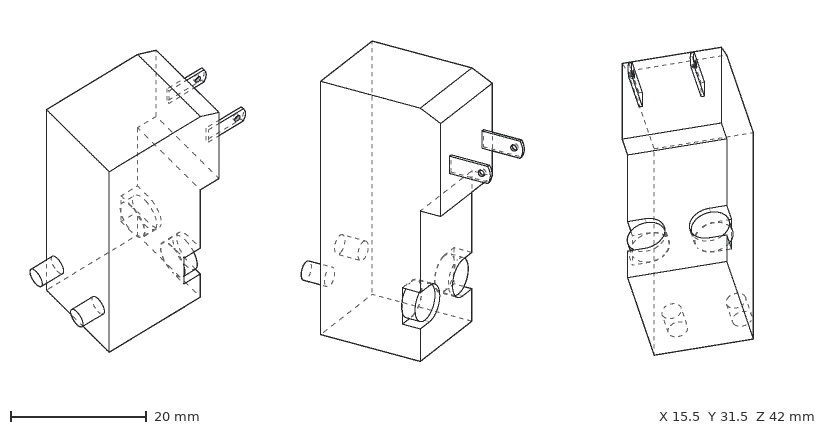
import cadquery as cq
import math

body_width = 15.05
body_height = 42.0
base_depth = 17.05
head_depth = 20.55
head_bottom = 24.95
bevel_run = 3.5
bevel_drop = 1.65

pin_x = 4.87
axis_z = 8.4
pin_diameter = 3.0
pin_length = 4.0

screw_diameter = 5.8
screw_recess = 0.75
slot_height = 6.0
slot_depth = 3.05
screw_overhang = 0.23
screw_x = body_width / 2 + screw_overhang - screw_diameter / 2

blade_x = 4.7
blade_z = 32.4
blade_thickness = 0.5
blade_height = 2.85
blade_tip_y = 27.5
blade_nose_radius = 2.48
blade_hole_diameter = 1.0
blade_hole_setback = 1.55
blade_embed = 0.4


def make_housing():
    """Side profile with a rear overhang and a bevelled top rear edge."""
    return (
        cq.Workplane("YZ")
        .polyline([
            (0, 0),
            (base_depth, 0),
            (base_depth, head_bottom),
            (head_depth, head_bottom),
            (head_depth, body_height - bevel_drop),
            (head_depth - bevel_run, body_height),
            (0, body_height),
        ])
        .close()
        .extrude(body_width / 2, both=True)
    )


def cylinder_along_y(diameter, x, y_start, y_end):
    """Cylinder at the pin and screw height, running from y_start to y_end."""
    return (
        cq.Workplane("XZ", origin=(x, y_start, axis_z))
        .circle(diameter / 2)
        .extrude(y_start - y_end)
    )


def make_screw_slot(side):
    """Slot with a round inner end, open at one side face and at the back."""
    slot_floor = base_depth - slot_depth
    round_end = cylinder_along_y(slot_height, side * screw_x, slot_floor, base_depth)
    opening = (
        cq.Workplane("XY")
        .box(body_width / 2, slot_depth, slot_height)
        .translate((side * (screw_x + body_width / 4), base_depth - slot_depth / 2, axis_z))
    )
    return round_end.union(opening)


def make_blade(x):
    """Flat blade with a rounded nose and a small cross hole."""
    half_height = blade_height / 2
    nose_rise = blade_nose_radius - math.sqrt(blade_nose_radius**2 - half_height**2)
    shoulder_y = blade_tip_y - nose_rise
    root_y = head_depth - blade_embed
    blade = (
        cq.Workplane("YZ", origin=(x, 0, blade_z))
        .moveTo(root_y, -half_height)
        .lineTo(shoulder_y, -half_height)
        .threePointArc((blade_tip_y, 0), (shoulder_y, half_height))
        .lineTo(root_y, half_height)
        .close()
        .extrude(blade_thickness / 2, both=True)
    )
    hole = (
        cq.Workplane("YZ", origin=(x, blade_tip_y - blade_hole_setback, blade_z))
        .circle(blade_hole_diameter / 2)
        .extrude(blade_thickness, both=True)
    )
    return blade.cut(hole)


result = make_housing()
for side in (-1, 1):
    result = result.cut(make_screw_slot(side))
    screw_head = cylinder_along_y(
        screw_diameter, side * screw_x, base_depth - slot_depth, base_depth - screw_recess
    )
    pin = cylinder_along_y(pin_diameter, side * pin_x, -pin_length, 0)
    result = result.union(screw_head).union(pin).union(make_blade(side * blade_x))